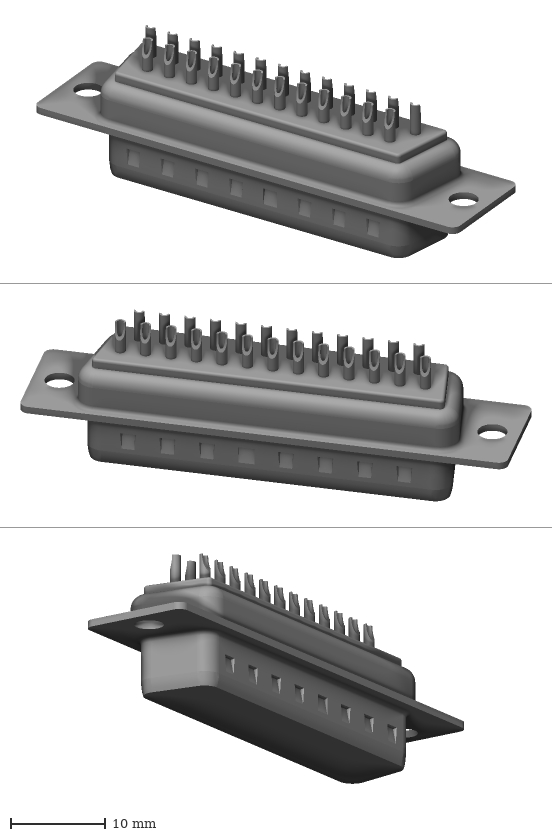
import cadquery as cq
import math


FLANGE_LENGTH = 53.05
FLANGE_DEPTH = 12.55
FLANGE_THICKNESS = 0.8
FLANGE_CORNER_RADIUS = 1.0
MOUNT_HOLE_DIAMETER = 3.2
MOUNT_HOLE_SPACING = 47.1

D_SIDE_ANGLE = math.radians(10)

UPPER_HALF_WIDTH = 20.15
UPPER_HALF_DEPTH = 5.35
UPPER_CORNER_RADIUS = 2.05
UPPER_TOP_Z = 5.1
UPPER_TOP_FILLET = 1.6

LOWER_HALF_WIDTH = 19.4
LOWER_HALF_DEPTH = 4.5
LOWER_CORNER_RADIUS = 1.85
LOWER_BOTTOM_Z = -6.05
FOOT_FILLET = 0.5
SELECTION_MARGIN = 0.05

LEAD_IN_HEIGHT = 1.55
LEAD_IN_INSET = 0.25

INSULATOR_HALF_WIDTH = 18.55
INSULATOR_HALF_DEPTH = 3.9
INSULATOR_CORNER_RADIUS = 0.5
INSULATOR_TOP_Z = 6.15
INSULATOR_TOP_FILLET = 0.3

PIN_DIAMETER = 1.15
BACK_ROW_LENGTH = 33.2
PIN_ROW_Y = 1.45
BACK_ROW_COUNT = 13
PIN_PITCH = BACK_ROW_LENGTH / (BACK_ROW_COUNT - 1)
FRONT_ROW_COUNT = 12
PIN_TOP_Z = 9.65
CUP_BORE_DIAMETER = 0.75
CUP_HEIGHT = 1.95
CUP_BORE_DEPTH = PIN_TOP_Z - INSULATOR_TOP_Z

DIMPLE_COUNT = 8
DIMPLE_PITCH = 4.3
DIMPLE_MOUTH_WIDTH = 1.75
DIMPLE_FLOOR_WIDTH = 1.4
DIMPLE_TOP_Z = -2.1
DIMPLE_HEIGHT = 1.85
DIMPLE_DEPTH = 0.35
DIMPLE_TOP_SLOPE = 0.15
STRAIGHT_DIMPLE_INDEX = 4


def d_prism(half_width, half_depth, corner_radius, z_start, z_end):
    """Upright D-shaped block with rounded vertical corners."""
    slant = half_depth * math.tan(D_SIDE_ANGLE)
    wide = half_width + slant
    narrow = half_width - slant
    return (
        cq.Workplane("XY", origin=(0, 0, z_start))
        .polyline([(-narrow, -half_depth), (narrow, -half_depth), (wide, half_depth), (-wide, half_depth)])
        .close()
        .extrude(z_end - z_start)
        .edges("|Z")
        .fillet(corner_radius)
    )


def lead_in_cutter(lower_shell):
    """Ring outside a shallow arc, swept around the bottom rim of the lower shell."""
    arc_radius = (LEAD_IN_HEIGHT**2 + LEAD_IN_INSET**2) / (2 * LEAD_IN_INSET)
    half_angle = math.asin(LEAD_IN_HEIGHT / arc_radius) / 2
    wall_y = -LOWER_HALF_DEPTH
    arc_top = (wall_y, LOWER_BOTTOM_Z + LEAD_IN_HEIGHT)
    arc_middle = (
        wall_y + arc_radius * (1 - math.cos(half_angle)),
        arc_top[1] - arc_radius * math.sin(half_angle),
    )
    arc_bottom = (wall_y + LEAD_IN_INSET, LOWER_BOTTOM_Z)
    rim = lower_shell.faces("<Z").wires()
    return (
        cq.Workplane("YZ")
        .moveTo(*arc_top)
        .threePointArc(arc_middle, arc_bottom)
        .lineTo(wall_y, LOWER_BOTTOM_Z)
        .close()
        .sweep(rim)
    )


def shell():
    """Flange with the two D-shaped shells blended into it."""
    flange = (
        cq.Workplane("XY")
        .rect(FLANGE_LENGTH, FLANGE_DEPTH)
        .extrude(FLANGE_THICKNESS)
        .edges("|Z")
        .fillet(FLANGE_CORNER_RADIUS)
    )
    upper = d_prism(UPPER_HALF_WIDTH, UPPER_HALF_DEPTH, UPPER_CORNER_RADIUS, 0, UPPER_TOP_Z)
    upper = upper.faces(">Z").edges().fillet(UPPER_TOP_FILLET)
    lower = d_prism(LOWER_HALF_WIDTH, LOWER_HALF_DEPTH, LOWER_CORNER_RADIUS, LOWER_BOTTOM_Z, 0)
    lower = lower.cut(lead_in_cutter(lower))

    body = flange.union(upper).union(lower)
    foot_half_length = UPPER_HALF_WIDTH + UPPER_CORNER_RADIUS
    foot_half_depth = FLANGE_DEPTH / 2 - FOOT_FILLET
    for foot_z in (0, FLANGE_THICKNESS):
        foot_edges = cq.selectors.BoxSelector(
            (-foot_half_length, -foot_half_depth, foot_z - SELECTION_MARGIN),
            (foot_half_length, foot_half_depth, foot_z + SELECTION_MARGIN),
        )
        body = body.edges(foot_edges).fillet(FOOT_FILLET)

    holes = (
        cq.Workplane("XY")
        .pushPoints([(-MOUNT_HOLE_SPACING / 2, 0), (MOUNT_HOLE_SPACING / 2, 0)])
        .circle(MOUNT_HOLE_DIAMETER / 2)
        .extrude(FLANGE_THICKNESS)
    )
    return body.cut(holes)


def row_positions(count, pitch):
    """X positions of a row centred on X = 0."""
    return [(index - (count - 1) / 2) * pitch for index in range(count)]


def dimple(x, side, floor_width):
    """Wedge cutter in one long side, deepest at its top and running out at its bottom."""
    wall_y = side * LOWER_HALF_DEPTH
    floor_y = wall_y - side * DIMPLE_DEPTH
    half_mouth = DIMPLE_MOUTH_WIDTH / 2
    half_floor = floor_width / 2
    bottom_z = DIMPLE_TOP_Z - DIMPLE_HEIGHT
    deep_z = DIMPLE_TOP_Z - DIMPLE_TOP_SLOPE
    mouth_left = (x - half_mouth, wall_y, DIMPLE_TOP_Z)
    mouth_right = (x + half_mouth, wall_y, DIMPLE_TOP_Z)
    deep_left = (x - half_floor, floor_y, deep_z)
    deep_right = (x + half_floor, floor_y, deep_z)
    bottom_left = (x - half_floor, wall_y, bottom_z)
    bottom_right = (x + half_floor, wall_y, bottom_z)
    outlines = [
        (mouth_left, mouth_right, bottom_right, bottom_left),
        (deep_left, deep_right, bottom_right, bottom_left),
        (mouth_left, mouth_right, deep_right, deep_left),
        (mouth_left, deep_left, bottom_left),
        (mouth_right, deep_right, bottom_right),
    ]
    faces = []
    for outline in outlines:
        points = [cq.Vector(*point) for point in outline]
        faces.append(cq.Face.makeFromWires(cq.Wire.makePolygon(points, close=True)))
    return cq.Solid.makeSolid(cq.Shell.makeShell(faces))


def dimples():
    """Row of dimple cutters along each long side."""
    cutters = cq.Workplane("XY")
    for side in (-1, 1):
        for index, x in enumerate(row_positions(DIMPLE_COUNT, DIMPLE_PITCH)):
            is_straight = index == STRAIGHT_DIMPLE_INDEX
            floor_width = DIMPLE_MOUTH_WIDTH if is_straight else DIMPLE_FLOOR_WIDTH
            cutters = cutters.add(dimple(x, side, floor_width))
    return cutters.combine()


def insulator():
    """Moulded block standing out of the upper shell."""
    block = d_prism(
        INSULATOR_HALF_WIDTH,
        INSULATOR_HALF_DEPTH,
        INSULATOR_CORNER_RADIUS,
        FLANGE_THICKNESS,
        INSULATOR_TOP_Z,
    )
    return block.faces(">Z").edges().fillet(INSULATOR_TOP_FILLET)


def solder_pin(side):
    """Pin on the Z axis whose cup opens toward side * Y."""
    radius = PIN_DIAMETER / 2
    post = cq.Workplane("XY", origin=(0, 0, UPPER_TOP_Z)).circle(radius).extrude(PIN_TOP_Z - UPPER_TOP_Z)
    bore = cq.Workplane("XY", origin=(0, 0, PIN_TOP_Z)).circle(CUP_BORE_DIAMETER / 2).extrude(-CUP_BORE_DEPTH)
    scoop_radius = (CUP_HEIGHT**2 + radius**2) / (2 * radius)
    scoop = (
        cq.Workplane("YZ", origin=(0, side * scoop_radius, PIN_TOP_Z))
        .circle(scoop_radius)
        .extrude(PIN_DIAMETER, both=True)
    )
    tube = post.cut(bore).rotate((0, 0, 0), (0, 0, 1), -90 * side)
    return tube.cut(scoop)


def pin_row(side, count):
    """Row of pins at side * PIN_ROW_Y with the cups facing outward."""
    pin = solder_pin(side)
    row = cq.Workplane("XY")
    for x in row_positions(count, PIN_PITCH):
        row = row.add(pin.translate((x, side * PIN_ROW_Y, 0)))
    return row.combine()


result = (
    shell()
    .cut(dimples())
    .union(insulator())
    .union(pin_row(1, BACK_ROW_COUNT))
    .union(pin_row(-1, FRONT_ROW_COUNT))
)